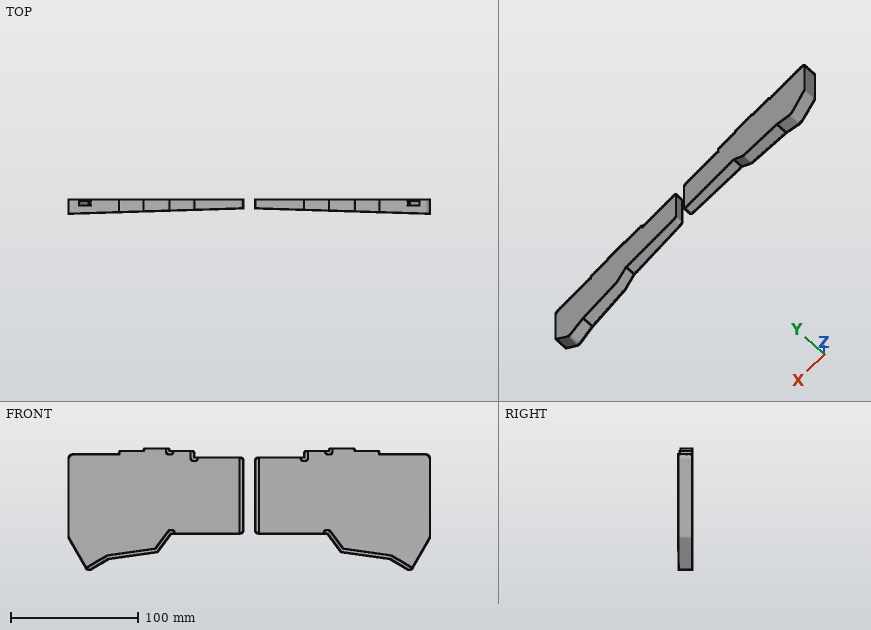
import cadquery as cq
import math

HALF_LENGTH = 142.0
HALF_GAP = 4.5
BACK_Y = 5.7
OUTER_THICKNESS = 11.5
INNER_THICKNESS = 7.0
TOP_Z = 47.7

SHOULDER_Z = 45.7
OUTER_TOP_Z = 43.2
INNER_TOP_Z = 40.5
INNER_BOTTOM_Z = -19.3

END_RADIUS = 4.0
CORNER_RADIUS = 2.98
STEP_RADIUS = 1.7
SHARP = 0

INNER_TOP = (HALF_GAP, INNER_TOP_Z, CORNER_RADIUS)
INNER_SHOULDER_FOOT = (43.2, INNER_TOP_Z, SHARP)
INNER_SHOULDER = (43.2, SHOULDER_Z, STEP_RADIUS)
CREST_INNER_FOOT = (62.5, SHOULDER_Z, SHARP)
CREST_INNER = (62.5, TOP_Z, STEP_RADIUS)
CREST_OUTER = (83.0, TOP_Z, STEP_RADIUS)
CREST_OUTER_FOOT = (83.0, SHOULDER_Z, SHARP)
OUTER_SHOULDER = (102.2, SHOULDER_Z, STEP_RADIUS)
OUTER_SHOULDER_FOOT = (102.2, OUTER_TOP_Z, SHARP)
OUTER_TOP = (HALF_LENGTH, OUTER_TOP_Z, END_RADIUS)
OUTER_BEND = (HALF_LENGTH, -22.2, END_RADIUS)
TIP = (126.7, -48.8, CORNER_RADIUS)
LOWER_BEND = (110.5, -39.2, SHARP)
LOWER_CORNER = (72.0, -33.8, CORNER_RADIUS)
LOWER_NOTCH = (61.3, INNER_BOTTOM_Z, SHARP)
INNER_BOTTOM = (HALF_GAP, INNER_BOTTOM_Z, CORNER_RADIUS)

OUTLINE = [
    INNER_TOP, INNER_SHOULDER_FOOT, INNER_SHOULDER, CREST_INNER_FOOT,
    CREST_INNER, CREST_OUTER, CREST_OUTER_FOOT, OUTER_SHOULDER,
    OUTER_SHOULDER_FOOT, OUTER_TOP, OUTER_BEND, TIP,
    LOWER_BEND, LOWER_CORNER, LOWER_NOTCH, INNER_BOTTOM,
]

RELIEF_WIDTH = 2.98
RELIEF_DEPTH = 0.09
RELIEVED_EDGES = [
    (INNER_TOP, INNER_BOTTOM),
    (INNER_SHOULDER, INNER_SHOULDER_FOOT),
    (CREST_INNER, CREST_INNER_FOOT),
    (TIP, LOWER_BEND),
    (LOWER_BEND, LOWER_CORNER),
    (LOWER_CORNER, LOWER_NOTCH),
]

SLOT_OUTER_X = 133.8
SLOT_LENGTH = 9.0
SLOT_WIDTH = 3.5
SLOT_Y = 2.5
SLOT_ANGLE = 60
SLOT_DEPTH = 15.3
SLOT_CORNER_RADIUS = 1.5 / 2


def outline_prism():
    """Full-thickness plate with a rounded outline and parallel faces."""
    points = [(x, z) for x, z, radius in OUTLINE]
    prism = cq.Workplane("XZ", origin=(0, BACK_Y, 0)).polyline(points).close().extrude(OUTER_THICKNESS)
    for x, z, radius in OUTLINE:
        if radius > 0:
            corner = cq.selectors.NearestToPointSelector((x, BACK_Y - OUTER_THICKNESS / 2, z))
            prism = prism.edges("|Y").edges(corner).fillet(radius)
    return prism


def space_behind_front(recess):
    """Wedge between the back face and the sloping front face, the front set back by recess."""
    points = [
        (HALF_GAP, BACK_Y),
        (HALF_GAP, BACK_Y - INNER_THICKNESS + recess),
        (HALF_LENGTH, BACK_Y - OUTER_THICKNESS + recess),
        (HALF_LENGTH, BACK_Y),
    ]
    height = 3 * TOP_Z
    return cq.Workplane("XY", origin=(0, 0, -height / 2)).polyline(points).close().extrude(height)


def relief_strip(start, end):
    """Round-ended strip, wide enough to reach RELIEF_WIDTH to each side of an outline edge."""
    run = end[0] - start[0]
    rise = end[1] - start[1]
    strip = cq.Workplane("XZ", origin=(0, BACK_Y, 0)).center((start[0] + end[0]) / 2, (start[1] + end[1]) / 2)
    length = math.hypot(run, rise) + 2 * RELIEF_WIDTH
    return strip.slot2D(length, 2 * RELIEF_WIDTH, math.degrees(math.atan2(rise, run))).extrude(OUTER_THICKNESS)


def slanted_slot():
    """Cutter for the slanted slot, rounded at the corners of its outer wall."""
    angle = math.radians(SLOT_ANGLE)
    across = SLOT_LENGTH * math.sin(angle)
    overrun = SLOT_LENGTH
    cutter = cq.Workplane("XY").box(across, SLOT_WIDTH, SLOT_DEPTH + overrun, centered=(False, True, False))
    cutter = cutter.translate((-across, 0, -SLOT_DEPTH)).edges("|Z and >X").fillet(SLOT_CORNER_RADIUS)
    cutter = cutter.rotate((0, 0, 0), (0, 1, 0), 90 - SLOT_ANGLE)
    return cutter.translate((SLOT_OUTER_X, SLOT_Y, OUTER_TOP_Z))


def plate():
    """Plate on the +X side."""
    prism = outline_prism()
    body = prism.intersect(space_behind_front(0))
    front_layer = body.cut(space_behind_front(RELIEF_DEPTH))
    for start, end in RELIEVED_EDGES:
        front_layer = front_layer.cut(relief_strip(start, end))
    body = prism.intersect(space_behind_front(RELIEF_DEPTH)).union(front_layer)
    return body.cut(slanted_slot())


right_plate = plate()
left_plate = right_plate.mirror("YZ")

result = cq.Compound.makeCompound([left_plate.val(), right_plate.val()])